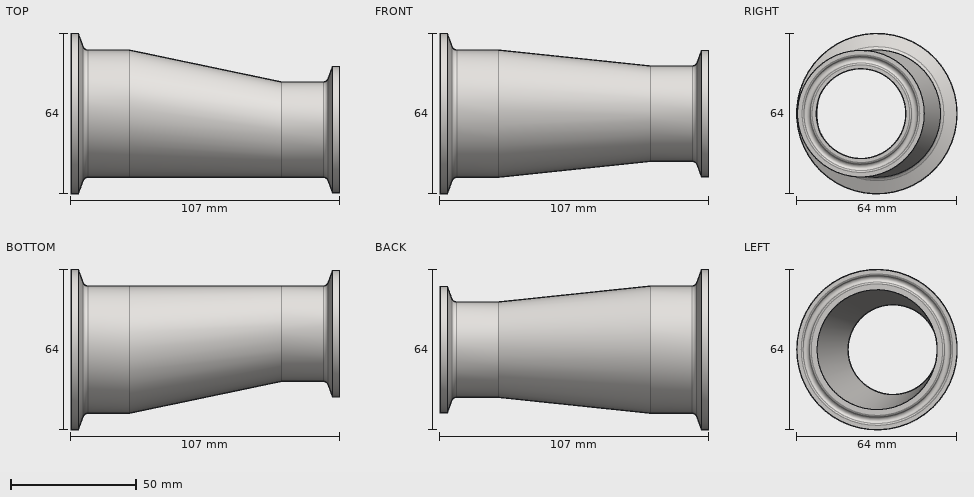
import cadquery as cq
import math

overall_length = 107.0
large_tube_od = 50.8
large_tube_id = 47.8
large_flange_od = 64.0
small_tube_od = 38.1
small_tube_id = 35.7
small_flange_od = 50.5
large_end_length = 23.2
small_end_length = 23.2
axis_offset = (large_tube_od - small_tube_od) / 2

rim_thickness = 2.85
flange_back_angle = 20.0
neck_fillet = 2.0
groove_rim_distance = 3.8
groove_radius = 1.35
groove_depth = 1.35
groove_edge_fillet = 0.8


def tube_section(diameter, x):
    """Circle about the X axis, ready to extrude or loft."""
    return cq.Workplane("YZ", origin=(x, 0, 0)).circle(diameter / 2)


def ferrule_blank(tube_od, flange_od, length):
    """Solid tube end with its flange, face at X = 0 and axis along X."""
    tube_r = tube_od / 2
    flange_r = flange_od / 2
    slope = math.radians(flange_back_angle)
    back_end = rim_thickness + (flange_r - tube_r) * math.tan(slope)
    turn = math.pi / 2 - slope
    tangent_length = neck_fillet * math.tan(turn / 2)
    fillet_center = (back_end + tangent_length, tube_r + neck_fillet)
    cone_tangent = (
        back_end - tangent_length * math.sin(slope),
        tube_r + tangent_length * math.cos(slope),
    )
    fillet_middle = (
        fillet_center[0] - neck_fillet * math.sin(turn / 2),
        fillet_center[1] - neck_fillet * math.cos(turn / 2),
    )
    profile = (
        cq.Workplane("XY")
        .moveTo(0, 0)
        .lineTo(0, flange_r)
        .lineTo(rim_thickness, flange_r)
        .lineTo(*cone_tangent)
        .threePointArc(fillet_middle, (fillet_center[0], tube_r))
        .lineTo(length, tube_r)
        .lineTo(length, 0)
        .close()
    )
    return profile.revolve(360, (0, 0, 0), (1, 0, 0))


def gasket_groove(flange_od):
    """Ring cutter for the round-bottomed groove with rounded lips in a face at X = 0."""
    middle_r = flange_od / 2 - groove_rim_distance
    groove_center_x = groove_depth - groove_radius
    center_rise = groove_edge_fillet - groove_center_x
    center_distance = groove_radius + groove_edge_fillet
    lip_offset = math.sqrt(center_distance**2 - center_rise**2)
    touch_ratio = groove_radius / center_distance
    touch_x = groove_center_x + center_rise * touch_ratio
    touch_offset = lip_offset * touch_ratio
    lip_angle = math.atan2(lip_offset, center_rise)
    lip_middle_x = groove_edge_fillet * (1 - math.cos(lip_angle / 2))
    lip_middle_offset = lip_offset - groove_edge_fillet * math.sin(lip_angle / 2)
    profile = (
        cq.Workplane("XY")
        .moveTo(0, middle_r - lip_offset)
        .threePointArc((lip_middle_x, middle_r - lip_middle_offset), (touch_x, middle_r - touch_offset))
        .threePointArc((groove_depth, middle_r), (touch_x, middle_r + touch_offset))
        .threePointArc((lip_middle_x, middle_r + lip_middle_offset), (0, middle_r + lip_offset))
        .close()
    )
    return profile.revolve(360, (0, 0, 0), (1, 0, 0))


def ferrule(tube_od, tube_id, flange_od, length):
    """Bored tube end with a grooved clamp flange, face at X = 0."""
    bore = tube_section(tube_id, 0).extrude(length)
    return ferrule_blank(tube_od, flange_od, length).cut(bore).cut(gasket_groove(flange_od))


def eccentric_cone(large_diameter, small_diameter):
    """Solid cone between the two tube ends, with its small end shifted toward -Y."""
    length = overall_length - large_end_length - small_end_length
    return (
        tube_section(large_diameter, large_end_length)
        .workplane(offset=length)
        .center(-axis_offset, 0)
        .circle(small_diameter / 2)
        .loft(ruled=True)
    )


large_end = ferrule(large_tube_od, large_tube_id, large_flange_od, large_end_length)
small_end = (
    ferrule(small_tube_od, small_tube_id, small_flange_od, small_end_length)
    .mirror("YZ")
    .translate((overall_length, -axis_offset, 0))
)
reducer = eccentric_cone(large_tube_od, small_tube_od).cut(eccentric_cone(large_tube_id, small_tube_id))

result = large_end.union(reducer).union(small_end)